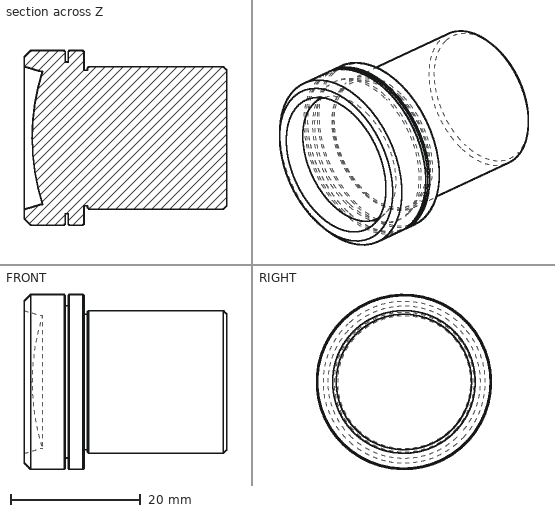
import cadquery as cq
import math

length = 31.28

head_diameter = 27.0
head_radius = head_diameter / 2
head_end = 6.35
head_front_chamfer = 1.0
head_rear_chamfer = 0.2

groove_radius = 11.75

ring_start = 6.8
ring_end = 9.25
ring_chamfer = 0.2

neck_radius = 10.48
barrel_start = 9.75
barrel_radius = 11.0
barrel_front_chamfer = 0.22
barrel_rear_chamfer = 0.55

opening_radius = barrel_radius
lens_radius = 10.25
taper_depth = 2.5
lens_rim_depth = 2.8
lens_dome_height = 1.6


def turned(start, end, radius, front_chamfer=0, rear_chamfer=0):
    """Cylinder along X from start to end, with optional edge chamfers."""
    body = cq.Workplane("YZ", origin=(start, 0, 0)).circle(radius).extrude(end - start)
    if front_chamfer:
        body = body.faces("<X").chamfer(front_chamfer)
    if rear_chamfer:
        body = body.faces(">X").chamfer(rear_chamfer)
    return body


def front_opening():
    """Tapered and bored recess whose bottom is the convex lens face."""
    sphere_radius = (lens_radius**2 + lens_dome_height**2) / (2 * lens_dome_height)
    half_angle = math.asin(lens_radius / sphere_radius) / 2
    apex_depth = lens_rim_depth - lens_dome_height
    arc_middle = (
        apex_depth + sphere_radius * (1 - math.cos(half_angle)),
        sphere_radius * math.sin(half_angle),
    )
    profile = (
        cq.Workplane("XY")
        .lineTo(0, opening_radius)
        .lineTo(taper_depth, lens_radius)
        .lineTo(lens_rim_depth, lens_radius)
        .threePointArc(arc_middle, (apex_depth, 0))
        .close()
    )
    return profile.revolve(360, (0, 0, 0), (1, 0, 0))


head = turned(0, head_end, head_radius, head_front_chamfer, head_rear_chamfer)
groove_core = turned(head_end, ring_start, groove_radius)
ring = turned(ring_start, ring_end, head_radius, ring_chamfer, ring_chamfer)
neck = turned(ring_end, barrel_start, neck_radius)
barrel = turned(barrel_start, length, barrel_radius, barrel_front_chamfer, barrel_rear_chamfer)

body = head.union(groove_core).union(ring).union(neck).union(barrel)
result = body.cut(front_opening())